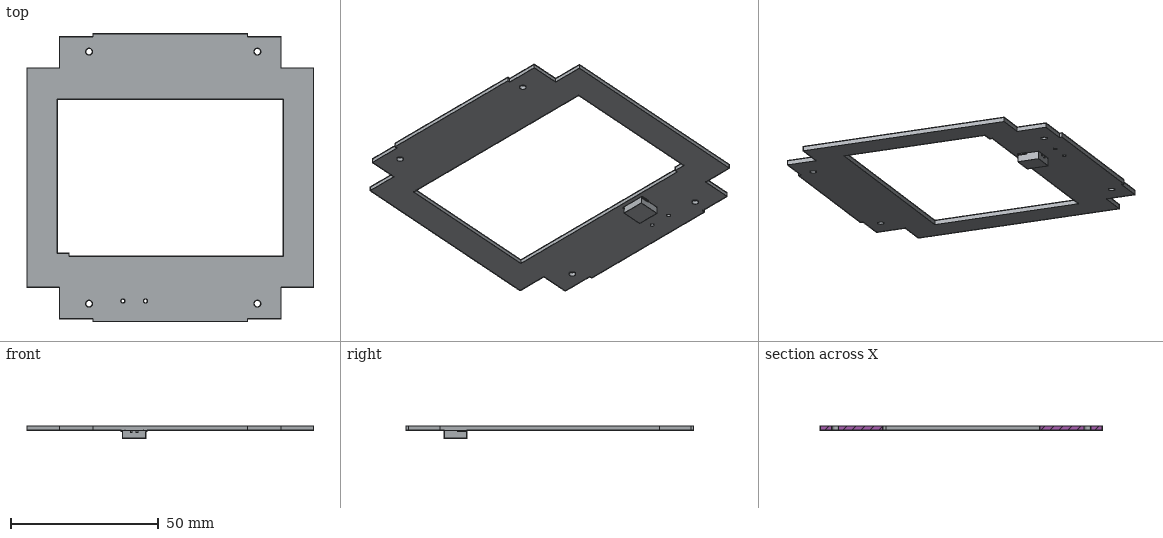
import cadquery as cq

board_thickness = 1.57
frame_width = 96.97
frame_height = 74.2
shoulder_width = 75.0
shoulder_height = 95.4
tongue_width = 52.3
tongue_height = 97.33

window_width = 76.4
window_height = 53.0
step_width = 4.0
step_height = 1.0

mount_hole_diameter = 2.2
mount_hole_pitch_x = 56.9
mount_hole_pitch_y = 85.2
mount_hole_shift_x = 1.0

overall_height = 4.27
connector_x = -12.2
connector_width = 8.0
connector_front_y = -35.7
connector_depth = 7.7
connector_height = overall_height - board_thickness
wire_hole_diameter = 1.3
wire_hole_pitch = 7.62
wire_hole_y = -41.7

tab_overhang = 0.4
tab_depth = 3.2
tab_thickness = 0.4

terminal_pitch = 2.0
terminal_width = 0.6
terminal_height = 0.7
terminal_depth = 1.0


def box_between(x_start, x_end, y_start, y_end, z_start, z_end):
    """Axis-aligned box given by its limits."""
    return (
        cq.Workplane("XY")
        .box(x_end - x_start, y_end - y_start, z_end - z_start, centered=False)
        .translate((x_start, y_start, z_start))
    )


def centered_plate(width, height):
    """Rectangle of board material centred on the origin."""
    return cq.Workplane("XY").rect(width, height).extrude(board_thickness)


def make_window():
    """Cutter for the window, less the corner step."""
    left = -window_width / 2
    bottom = -window_height / 2
    step = box_between(left, left + step_width, bottom, bottom + step_height, 0, board_thickness)
    return centered_plate(window_width, window_height).cut(step)


def make_board():
    """Stepped frame board with its window, mounting holes and wire holes."""
    board = centered_plate(frame_width, frame_height)
    board = board.union(centered_plate(shoulder_width, shoulder_height))
    board = board.union(centered_plate(tongue_width, tongue_height))
    board = board.cut(make_window())

    mount_holes = (
        cq.Workplane("XY")
        .center(mount_hole_shift_x, 0)
        .rect(mount_hole_pitch_x, mount_hole_pitch_y, forConstruction=True)
        .vertices()
        .circle(mount_hole_diameter / 2)
        .extrude(board_thickness)
    )
    wire_holes = (
        cq.Workplane("XY")
        .center(connector_x, wire_hole_y)
        .rarray(wire_hole_pitch, 1, 2, 1)
        .circle(wire_hole_diameter / 2)
        .extrude(board_thickness)
    )
    return board.cut(mount_holes).cut(wire_holes)


def make_connector():
    """Low connector with side solder tabs and two terminal recesses."""
    half_width = connector_width / 2
    rear_y = connector_front_y + connector_depth
    connector = box_between(
        connector_x - half_width, connector_x + half_width, connector_front_y, rear_y, -connector_height, 0
    )

    half_tab_span = half_width + tab_overhang
    tabs = box_between(
        connector_x - half_tab_span, connector_x + half_tab_span, rear_y - tab_depth, rear_y, -tab_thickness, 0
    )
    connector = connector.union(tabs)

    for side in (-1, 1):
        recess_x = connector_x + side * terminal_pitch / 2
        recess = box_between(
            recess_x - terminal_width / 2,
            recess_x + terminal_width / 2,
            connector_front_y,
            connector_front_y + terminal_depth,
            -terminal_height,
            0,
        )
        connector = connector.cut(recess)
    return connector


board = make_board()
connector = make_connector()
result = cq.Compound.makeCompound([board.val(), connector.val()])